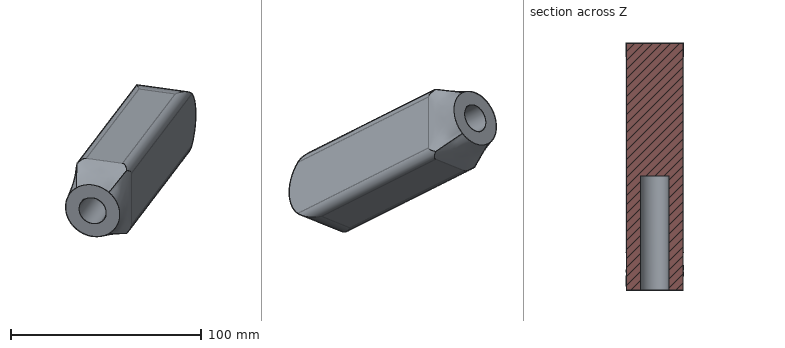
import cadquery as cq
import math

LENGTH = 130.0
WIDTH = 30.0
HEIGHT = 40.0
EDGE_RADIUS = 5.0
NECK_LENGTH = 20.0
BORE_DIAMETER = 15.0
BORE_DEPTH = 60.0

NECK_Y = -LENGTH / 2
BODY_Y = NECK_Y + NECK_LENGTH
ROUND_END_Y = LENGTH / 2
END_RADIUS = HEIGHT / 2
ROUND_CENTRE_Y = ROUND_END_Y - END_RADIUS
NECK_RADIUS = WIDTH / 2


def xz_plane(y):
    """Plane across the handle at the given Y, with its normal toward +Y."""
    return cq.Plane(origin=(0, y, 0), xDir=(-1, 0, 0), normal=(0, 1, 0))


def make_body():
    """Square-edged grip with a half-round far end."""
    return (
        cq.Workplane("YZ")
        .moveTo(BODY_Y, -END_RADIUS)
        .lineTo(ROUND_CENTRE_Y, -END_RADIUS)
        .threePointArc((ROUND_END_Y, 0), (ROUND_CENTRE_Y, END_RADIUS))
        .lineTo(BODY_Y, END_RADIUS)
        .close()
        .extrude(WIDTH / 2, both=True)
    )


def make_neck():
    """Transition from the round neck face to the square-cornered grip section.

    The circle is split toward the section corners, so each quarter-like arc
    blends into one side of the rectangle.
    """
    diagonal = math.hypot(WIDTH, HEIGHT)
    across = NECK_RADIUS * WIDTH / diagonal
    up = NECK_RADIUS * HEIGHT / diagonal
    neck_circle = (
        cq.Workplane(xz_plane(NECK_Y))
        .moveTo(-across, -up)
        .threePointArc((0, -NECK_RADIUS), (across, -up))
        .threePointArc((NECK_RADIUS, 0), (across, up))
        .threePointArc((0, NECK_RADIUS), (-across, up))
        .threePointArc((-NECK_RADIUS, 0), (-across, -up))
        .wire()
        .val()
    )
    grip_rectangle = (
        cq.Workplane(xz_plane(BODY_Y))
        .polyline([
            (-WIDTH / 2, -HEIGHT / 2),
            (WIDTH / 2, -HEIGHT / 2),
            (WIDTH / 2, HEIGHT / 2),
            (-WIDTH / 2, HEIGHT / 2),
        ])
        .close()
        .val()
    )
    return cq.Workplane(cq.Solid.makeLoft([neck_circle, grip_rectangle], ruled=True))


def make_rounded_envelope():
    """Full-length bar whose four rounded edges trim the body and the neck."""
    return cq.Workplane("XZ").box(WIDTH, HEIGHT, LENGTH).edges("|Y").fillet(EDGE_RADIUS)


def make_bore():
    """Blind hole along Y from the neck face."""
    return cq.Workplane(xz_plane(NECK_Y)).circle(BORE_DIAMETER / 2).extrude(BORE_DEPTH)


handle = make_body().union(make_neck())
result = handle.intersect(make_rounded_envelope()).cut(make_bore())